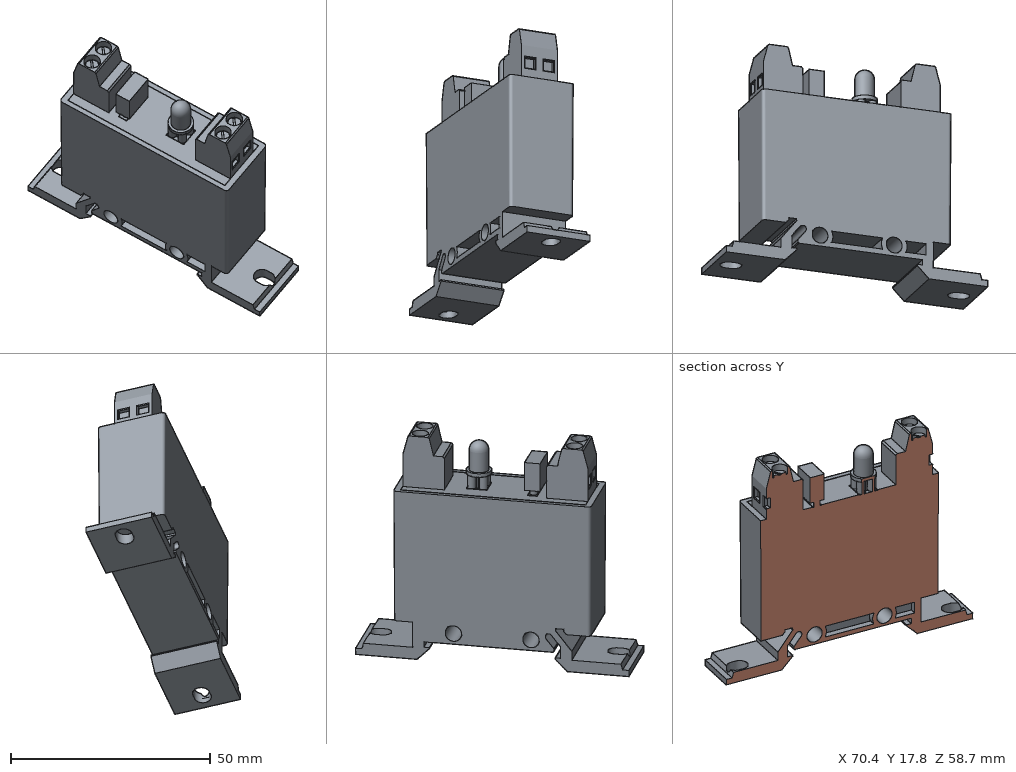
import math

import cadquery as cq

total_length = 70.37
total_width = 17.79
total_height = 58.67

housing_bottom = 10.0
housing_top = 45.0
housing_length = 50.9
housing_corner_radius = 0.85
housing_draft = 0.15
housing_height = housing_top - housing_bottom
draft_angle = math.degrees(math.atan(housing_draft / housing_height))

lid_length = 47.6
lid_width = 15.1
lid_recess = 0.1
seat_recess = 0.15
lid_surface = housing_top - lid_recess
seat_surface = lid_surface - seat_recess

foot_end = total_length / 2
foot_top = 3.2
foot_lip_height = 1.7
foot_lip_length = 1.6
foot_bevel_run = 0.45
hook_height = 3.48
hook_tip = 16.2
hook_land = 0.35
hook_flat = hook_height - hook_land
leg_outer = 20.5
leg_inner = 17.57

rail_bottom = 4.9
arm_outer_bend = 5.6
arm_inner_bend = 6.6
arm_angle = 51.0
spring_slot_width = 1.75
spring_slot_end = 9.5
rail_corner_chamfer = 0.25
rail_lip_height = 5.9

notch_height = 11.37
notch_left = 18.37
notch_start = 19.13
notch_right = 16.35
notch_step = 10.84

slot_centre = 30.65
slot_length = 5.6
slot_width = 4.3

cross_hole_spacing = 19.96
cross_hole_diameter = 4.2
cross_hole_height = 7.8
pocket_height = 3.0
pocket_depth = 8.0
pocket_end = 18.54
pocket_ring_radius = 3.45

terminal_outer = lid_length / 2
terminal_inner = 13.15
terminal_width = 10.0
terminal_crown_outer = 22.5
terminal_crown_inner = 17.1
terminal_shoulder = 53.8
terminal_step_end = 15.94
terminal_bevel = 0.3
terminal_step_bevel = 0.45
way_offset = 2.55

screw_centre = 19.85
screw_hole_diameter = 4.1
screw_hole_depth = 2.2
screw_head_diameter = 3.5
screw_head_height = 0.6
screw_slot_width = 0.5
screw_slot_depth = 0.3
screw_slot_angle = -50.0

wire_entry_height = 49.4
wire_entry_size = 2.8
wire_entry_depth = 1.1
wire_entry_chamfer = 0.22

block_centre_x = -9.26
block_centre_y = -0.3
block_length = 4.05
block_width = 8.45
block_bottom = 46.1
block_top = 53.6
block_pin_diameter = 2.0
block_pin_offset = 2.5
block_seat_length = 2.4

lamp_x = 5.34
lamp_diameter = 5.0
lamp_top = 57.0
lamp_flange_diameter = 6.45
lamp_flange_bottom = 48.25
lamp_flange_top = 49.25
holder_leg_diameter = 2.15
holder_leg_offset = 1.52
holder_seat_size = 5.3
lamp_lead_size = 0.5
lamp_lead_offset = 1.27


def prism(points, width):
    """Extrude an XZ outline symmetrically about the XZ plane."""
    return cq.Workplane("XZ").polyline(points).close().extrude(width / 2, both=True)


def box_between(length, width, bottom, top, x=0.0, y=0.0):
    """Upright box centred on (x, y) between two heights."""
    return cq.Workplane("XY", origin=(x, y, bottom)).rect(length, width).extrude(top - bottom)


def pin_between(diameter, bottom, top, x=0.0, y=0.0):
    """Upright cylinder centred on (x, y) between two heights."""
    return cq.Workplane("XY", origin=(x, y, bottom)).circle(diameter / 2).extrude(top - bottom)


def mirrored(body):
    """Reflect a body onto the other end of the part."""
    return body.mirror("YZ")


def drafted_box(length, bottom):
    """Box of full width at the housing top, narrowing down to the given height."""
    return (
        cq.Workplane("XY", origin=(0, 0, housing_top))
        .rect(length, total_width)
        .extrude(bottom - housing_top, taper=draft_angle)
    )


def make_housing():
    housing = drafted_box(housing_length, housing_bottom)
    housing = housing.edges("not(#Z)").fillet(housing_corner_radius)
    return housing.cut(box_between(lid_length, lid_width, lid_surface, housing_top))


def make_right_foot():
    lip_start = foot_end - foot_lip_length
    foot = prism(
        [
            (hook_tip, hook_height),
            (hook_tip, hook_flat),
            (hook_tip + hook_flat, 0),
            (foot_end, 0),
            (foot_end, foot_lip_height),
            (lip_start, foot_lip_height),
            (lip_start - foot_bevel_run, foot_top),
            (leg_outer, foot_top),
            (leg_outer, rail_bottom),
            (leg_inner, rail_bottom),
            (leg_inner, hook_height),
        ],
        total_width,
    )
    slot = (
        cq.Workplane("XY")
        .center(slot_centre, 0)
        .slot2D(slot_length, slot_width)
        .extrude(housing_bottom)
    )
    return foot.cut(slot)


def arm_outer_x(height):
    """X of the outer face of the spring arm at a given height."""
    return -leg_outer + (height - arm_outer_bend) / math.tan(math.radians(arm_angle))


def make_rail():
    """Lower rail with the spring arm still joined along its whole length."""
    return prism(
        [
            (-leg_outer, rail_bottom),
            (leg_outer, rail_bottom),
            (leg_outer, housing_bottom),
            (arm_outer_x(housing_bottom), housing_bottom),
            (-leg_outer, arm_outer_bend),
        ],
        total_width,
    )


def make_spring_slot():
    """Round-ended slanted slot that frees the spring arm from the rail."""
    angle = math.radians(arm_angle)
    along_x = math.cos(angle)
    along_z = math.sin(angle)
    radius = spring_slot_width / 2
    inner_end_x = -leg_inner + (spring_slot_end - arm_inner_bend) * along_x / along_z
    end_x = inner_end_x + radius * along_z
    end_z = spring_slot_end - radius * along_x
    far_x = end_x + radius * along_z
    far_z = end_z - radius * along_x
    lip_x = far_x - (far_z - rail_lip_height) * along_x / along_z
    return (
        cq.Workplane("XZ")
        .moveTo(-leg_inner, rail_bottom)
        .lineTo(-leg_inner, arm_inner_bend)
        .lineTo(inner_end_x, spring_slot_end)
        .threePointArc((end_x + radius * along_x, end_z + radius * along_z), (far_x, far_z))
        .lineTo(lip_x, rail_lip_height)
        .lineTo(lip_x, rail_bottom + rail_corner_chamfer)
        .lineTo(lip_x + rail_corner_chamfer, rail_bottom)
        .close()
        .extrude(total_width, both=True)
    )


def make_relief_notch():
    return prism(
        [
            (-notch_start, housing_bottom),
            (-notch_left, notch_step),
            (-notch_left, notch_height),
            (-notch_right, notch_height),
            (arm_outer_x(notch_step), notch_step),
            (arm_outer_x(housing_bottom), housing_bottom),
        ],
        2 * total_width,
    )


def cross_cylinder(diameter, x):
    return (
        cq.Workplane("XZ", origin=(x, 0, cross_hole_height))
        .circle(diameter / 2)
        .extrude(total_width, both=True)
    )


def make_rail_openings():
    """Cross holes, and front pockets that stop short of a ring around each hole."""
    left_hole_x = -cross_hole_spacing / 2
    pocket_length = pocket_end - left_hole_x
    pocket = cq.Workplane("XY").box(pocket_length, pocket_depth, pocket_height)
    pocket = pocket.translate(
        (left_hole_x + pocket_length / 2, (pocket_depth - total_width) / 2, cross_hole_height)
    )
    for x in (left_hole_x, -left_hole_x):
        pocket = pocket.cut(cross_cylinder(2 * pocket_ring_radius, x))
    for x in (left_hole_x, -left_hole_x):
        pocket = pocket.union(cross_cylinder(cross_hole_diameter, x))
    return pocket


def make_right_terminal():
    terminal = prism(
        [
            (terminal_inner, seat_surface),
            (terminal_outer, seat_surface),
            (terminal_outer, terminal_shoulder),
            (terminal_crown_outer, total_height),
            (terminal_crown_inner, total_height),
            (terminal_step_end, terminal_shoulder),
            (terminal_inner, terminal_shoulder),
        ],
        terminal_width,
    )
    terminal = terminal.faces(">Z").edges("|Y").chamfer(terminal_bevel)
    step_edge = cq.selectors.NearestToPointSelector((terminal_inner, 0, terminal_shoulder))
    terminal = terminal.edges(step_edge).chamfer(terminal_step_bevel)
    for y in (-way_offset, way_offset):
        terminal = terminal.cut(make_wire_entry(y))
    return terminal


def make_wire_entry(y):
    """Square pocket with a flared mouth in the outer face of a terminal."""
    pocket = (
        cq.Workplane("YZ", origin=(terminal_outer, y, wire_entry_height))
        .rect(wire_entry_size, wire_entry_size)
        .extrude(-wire_entry_depth)
    )
    mouth_size = wire_entry_size + 2 * wire_entry_chamfer
    mouth = (
        cq.Workplane("YZ", origin=(terminal_outer, y, wire_entry_height))
        .rect(mouth_size, mouth_size)
        .extrude(-wire_entry_chamfer, taper=45)
    )
    return pocket.union(mouth)


def make_screw_well(x, y):
    """Round well with a slotted screw head left standing on its floor."""
    floor = total_height - screw_hole_depth
    head_top = floor + screw_head_height
    head = pin_between(screw_head_diameter, floor, head_top)
    driver_slot = box_between(
        screw_head_diameter, screw_slot_width, head_top - screw_slot_depth, head_top
    )
    driver_slot = driver_slot.rotate((0, 0, 0), (0, 0, 1), screw_slot_angle)
    well = pin_between(screw_hole_diameter, floor, total_height)
    return well.cut(head.cut(driver_slot)).translate((x, y, 0))


def make_block():
    block = box_between(
        block_length, block_width, block_bottom, block_top, block_centre_x, block_centre_y
    )
    for offset in (-block_pin_offset, block_pin_offset):
        pin_y = block_centre_y + offset
        pin = pin_between(block_pin_diameter, seat_surface, block_bottom, block_centre_x, pin_y)
        block = block.union(pin)
    return block


def make_lamp():
    """Domed lamp with a flange, holder legs and two leads."""
    dome_radius = lamp_diameter / 2
    dome_centre = lamp_top - dome_radius
    lamp = pin_between(lamp_diameter, lamp_flange_top, dome_centre, lamp_x)
    lamp = lamp.union(cq.Workplane("XY", origin=(lamp_x, 0, dome_centre)).sphere(dome_radius))
    lamp = lamp.union(
        pin_between(lamp_flange_diameter, lamp_flange_bottom, lamp_flange_top, lamp_x)
    )
    for side_y in (-1, 1):
        lead = box_between(
            lamp_lead_size,
            lamp_lead_size,
            seat_surface,
            lamp_flange_bottom,
            lamp_x,
            side_y * lamp_lead_offset,
        )
        lamp = lamp.union(lead)
        for side_x in (-1, 1):
            leg = pin_between(
                holder_leg_diameter,
                seat_surface,
                lamp_flange_bottom,
                lamp_x + side_x * holder_leg_offset,
                side_y * holder_leg_offset,
            )
            lamp = lamp.union(leg)
    return lamp


right_foot = make_right_foot()
base = make_rail().cut(make_spring_slot())
base = base.union(right_foot).union(mirrored(right_foot))
base = base.intersect(drafted_box(2 * total_length, 0))
result = make_housing().cut(make_relief_notch())
result = result.union(base).cut(make_rail_openings())

result = result.cut(
    box_between(
        block_seat_length, block_width, seat_surface, housing_top, block_centre_x, block_centre_y
    )
)
result = result.cut(
    box_between(holder_seat_size, holder_seat_size, seat_surface, housing_top, lamp_x)
)

right_terminal = make_right_terminal()
result = result.union(right_terminal).union(mirrored(right_terminal))
for screw_x in (-screw_centre, screw_centre):
    for screw_y in (-way_offset, way_offset):
        result = result.cut(make_screw_well(screw_x, screw_y))
result = result.union(make_block()).union(make_lamp())